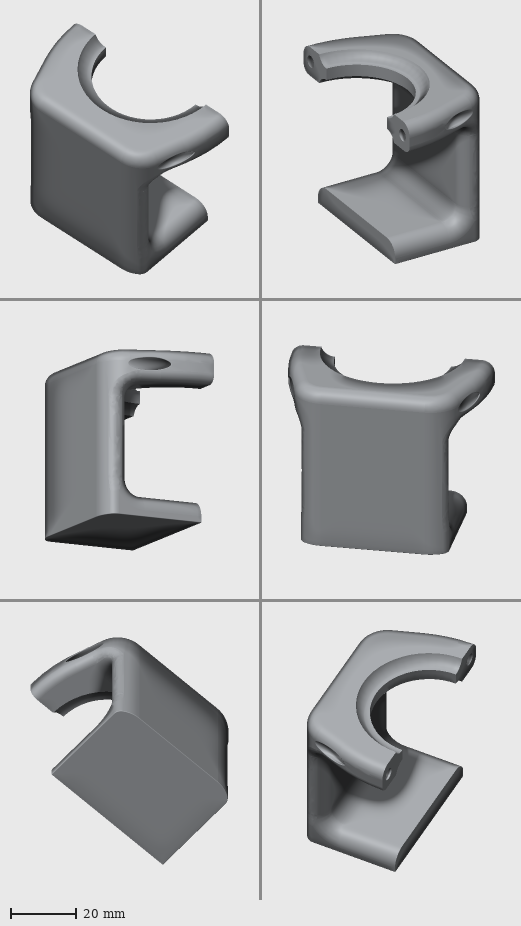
import math

import cadquery as cq

half_width = 31.79
depth = 32.49
height = 52.0

side_radius = 50.0
front_corner_radius = 10.0
front_flat_half_width = 16.25

base_half_width = 23.15
base_thickness = 7.0
top_thickness = 10.0
wall_thickness = 8.0
top_underside = height - top_thickness
wall_back = wall_thickness - depth

inner_radius = 5.0
outer_edge_radius = 3.0
top_edge_radius = 4.0

neck_radius = 18.15
seat_outer_radius = 22.42
seat_depth = 3.0

hole_diameter = 4.0
hole_x = 27.5
hole_z = height - top_thickness / 2

edge_break = 0.2

overshoot = 10.0


def outline_prism():
    """Full-height block with the plan outline of the top plate."""
    side_center_x = half_width - side_radius
    corner_y = front_corner_radius - depth
    span_x = front_flat_half_width - side_center_x
    span = math.hypot(span_x, corner_y)
    flank_angle = math.atan2(corner_y, span_x) + math.acos((side_radius - front_corner_radius) / span)

    def on_side(angle):
        return (side_center_x + side_radius * math.cos(angle), side_radius * math.sin(angle))

    def on_corner(angle):
        x = front_flat_half_width + front_corner_radius * math.cos(angle)
        return (x, corner_y + front_corner_radius * math.sin(angle))

    def mirrored(point):
        return (-point[0], point[1])

    front_angle = -math.pi / 2
    corner_middle = (flank_angle + front_angle) / 2
    return (
        cq.Workplane("XY")
        .moveTo(*on_side(0))
        .threePointArc(on_side(flank_angle / 2), on_side(flank_angle))
        .lineTo(*on_corner(flank_angle))
        .threePointArc(on_corner(corner_middle), on_corner(front_angle))
        .lineTo(*mirrored(on_corner(front_angle)))
        .threePointArc(mirrored(on_corner(corner_middle)), mirrored(on_corner(flank_angle)))
        .lineTo(*mirrored(on_side(flank_angle)))
        .threePointArc(mirrored(on_side(flank_angle / 2)), mirrored(on_side(0)))
        .close()
        .extrude(height)
    )


def base_and_wall():
    """L-shaped lower body with its inner side edges rounded."""
    front = -depth - overshoot
    body = (
        cq.Workplane("YZ")
        .moveTo(0, 0)
        .lineTo(0, base_thickness)
        .lineTo(wall_back + inner_radius, base_thickness)
        .radiusArc((wall_back, base_thickness + inner_radius), inner_radius)
        .lineTo(wall_back, top_underside)
        .lineTo(front, top_underside)
        .lineTo(front, 0)
        .close()
        .extrude(base_half_width, both=True)
    )
    wall_middle = (base_thickness + top_underside) / 2
    for side in (-1, 1):
        inner_edge = cq.selectors.NearestToPointSelector((side * base_half_width, wall_back, wall_middle))
        body = body.edges(inner_edge).fillet(inner_radius)
    return body


def frame():
    """Lower body joined to the top plate by a concave fillet, trimmed to the outline."""
    plate = (
        cq.Workplane("XY")
        .workplane(offset=top_underside)
        .rect(2 * (half_width + overshoot), 2 * (depth + overshoot))
        .extrude(top_thickness)
    )
    joined = base_and_wall().union(plate)
    root_edge = cq.selectors.NearestToPointSelector((0, wall_back, top_underside))
    joined = joined.edges(root_edge).fillet(inner_radius)
    return joined.intersect(outline_prism())


def round_outer_edges(body):
    """Round the outline edges: the chain below the top plate, then the upper rim."""
    for side in (-1, 1):
        lower_edge = cq.selectors.NearestToPointSelector((side * half_width, wall_back / 3, top_underside))
        body = body.edges(lower_edge).fillet(outer_edge_radius)
    rim_edge = cq.selectors.NearestToPointSelector((0, -depth, height))
    return body.edges(rim_edge).fillet(top_edge_radius)


def neck_tool():
    """Solid of revolution: straight neck between two matching concave seats."""
    seat_width = seat_outer_radius - neck_radius
    seat_arc_radius = (seat_width ** 2 + seat_depth ** 2) / (2 * seat_depth)
    tool_bottom = top_underside - inner_radius
    return (
        cq.Workplane("XZ")
        .moveTo(0, tool_bottom)
        .lineTo(seat_outer_radius, tool_bottom)
        .lineTo(seat_outer_radius, top_underside)
        .radiusArc((neck_radius, top_underside + seat_depth), -seat_arc_radius)
        .lineTo(neck_radius, height - seat_depth)
        .radiusArc((seat_outer_radius, height), -seat_arc_radius)
        .lineTo(0, height)
        .close()
        .revolve(360, (0, 0, 0), (0, 1, 0))
    )


def lanyard_holes():
    """Pair of round holes through the flanks, parallel to Y."""
    return (
        cq.Workplane("XZ")
        .pushPoints([(-hole_x, hole_z), (hole_x, hole_z)])
        .circle(hole_diameter / 2)
        .extrude(depth)
    )


def break_hole_mouths(body):
    """Round the slanted mouth of each lanyard hole."""
    reach = hole_diameter / 2 + edge_break
    for side in (-1, 1):
        near_corner = (side * hole_x - reach, -depth, hole_z - reach)
        far_corner = (side * hole_x + reach, -edge_break, hole_z + reach)
        hole_wall = body.faces("%CYLINDER").faces(cq.selectors.BoxSelector(near_corner, far_corner))
        mouth = hole_wall.edges(cq.selectors.BoxSelector(near_corner, far_corner)).edges("not |Y")
        body = mouth.fillet(edge_break)
    return body


def break_base_edges(body):
    """Round the base around its front and sides, leaving the open back sharp."""
    return body.faces("<Z").edges("not >Y").fillet(edge_break)


shaped = round_outer_edges(frame()).cut(neck_tool()).cut(lanyard_holes())
result = break_base_edges(break_hole_mouths(shaped))